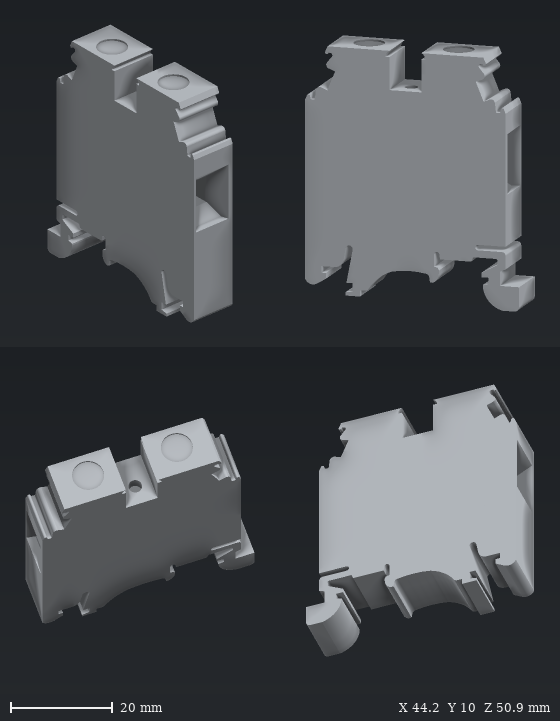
import cadquery as cq
import math


thickness = 10.0
height = 50.85
housing_width = 41.45
foot_reach = 2.8
half_width = housing_width / 2
foot_tip = -half_width - foot_reach

shoulder_z = 39.8
lip_z = 49.6
slot_floor_z = 42.9
flex_slot_top = 12.95
flex_slot_bottom = 11.85
foot_top = 5.0

quarter_round_share = 1 - math.sqrt(0.5)
foot_radius = 1.0
foot_arc_inset = foot_radius * quarter_round_share
arm_radius = 0.75
arm_arc_inset = arm_radius * quarter_round_share
groove_radius = 0.2
groove_arc_inset = groove_radius * quarter_round_share

groove_floor = 39.9
groove_inner_x = 18.7

slot_half_width = 3.3
slot_notch_half_width = 4.1

screw_diameter = 6.3
screw_depth = 0.4
screw_offset = 9.25
screw_y = 4.55
centre_hole_diameter = 2.7
centre_hole_depth = 2.55
centre_hole_y = 6.15

funnel_depth = 5.05
funnel_flat_depth = 1.8
mouth_bottom, mouth_top = 23.25, 35.5
mouth_front, mouth_back = 0.55, 8.9
throat_bottom, throat_top = 25.3, 31.2
throat_front, throat_back = 1.35, 7.6
chamber_depth = 3.05
chamber_step_y = 2.05
chamber_step_depth = 1.0


def front_sketch():
    """Sketch plane with X right and Z up; a negative extrusion runs toward +Y."""
    return cq.Workplane("XZ")


def make_lower_housing():
    """Housing below the shoulder, with the spring foot and the rail hooks."""
    outline = (
        front_sketch()
        .moveTo(half_width, shoulder_z)
        .lineTo(-half_width, shoulder_z)
        .lineTo(-half_width, flex_slot_top)
        .lineTo(-15.0, flex_slot_top)
        .threePointArc((-14.45, (flex_slot_top + flex_slot_bottom) / 2), (-15.0, flex_slot_bottom))
        .lineTo(-half_width + arm_radius, flex_slot_bottom)
        .threePointArc(
            (-half_width + arm_arc_inset, flex_slot_bottom - arm_arc_inset),
            (-half_width, flex_slot_bottom - arm_radius),
        )
        .lineTo(-half_width, 8.4)
        .lineTo(-19.6, 7.9)
        .lineTo(-19.6, foot_top)
        .lineTo(foot_tip, foot_top)
        .lineTo(foot_tip, foot_radius)
        .threePointArc((foot_tip + foot_arc_inset, foot_arc_inset), (foot_tip + foot_radius, 0))
        .lineTo(-20.15, 0)
        .threePointArc((-17.45, 1.5), (-16.0, 4.6))
        .lineTo(-16.0, 4.95)
        .lineTo(-17.2, 5.2)
        .lineTo(-17.2, 6.45)
        .lineTo(-15.7, 6.45)
        .lineTo(-15.7, 7.35)
        .lineTo(-19.0, 9.15)
        .lineTo(-19.0, 10.0)
        .threePointArc((-18.9, 10.25), (-18.65, 10.35))
        .lineTo(-13.95, 10.35)
        .lineTo(-13.6, 9.45)
        .lineTo(-7.15, 9.45)
        .lineTo(-7.0, 10.35)
        .threePointArc((-6.45, 10.95), (-5.95, 10.35))
        .lineTo(-5.95, 7.9)
        .lineTo(-6.65, 7.75)
        .lineTo(-6.95, 7.2)
        .lineTo(-6.85, 6.2)
        .threePointArc((-6.45, 5.25), (-5.65, 4.65))
        .lineTo(-5.1, 4.7)
        .lineTo(-4.95, 5.6)
        .threePointArc((-4.75, 6.1), (-4.2, 6.35))
        .threePointArc((-0.75, 6.65), (2.7, 6.3))
        .threePointArc((5.55, 4.8), (7.8, 2.25))
        .lineTo(8.25, 2.05)
        .lineTo(9.4, 2.05)
        .lineTo(9.4, 0.75)
        .lineTo(12.4, 0.75)
        .lineTo(12.4, 1.4)
        .lineTo(10.95, 1.7)
        .lineTo(10.95, 3.35)
        .lineTo(12.2, 3.35)
        .lineTo(10.9, 10.25)
        .threePointArc((11.65, 10.95), (12.35, 10.35))
        .lineTo(12.75, 8.1)
        .threePointArc((13.35, 6.85), (14.65, 6.35))
        .lineTo(17.35, 6.35)
        .lineTo(17.35, 5.05)
        .lineTo(16.4, 5.05)
        .lineTo(16.4, 3.85)
        .lineTo(18.4, 2.7)
        .threePointArc((19.8, 2.65), (half_width, 3.55))
        .close()
    )
    return outline.extrude(-thickness)


def make_tower():
    """Right half of the housing above the shoulder, including half of the slot."""
    outline = (
        front_sketch()
        .moveTo(0, shoulder_z)
        .lineTo(0, slot_floor_z)
        .lineTo(slot_half_width, slot_floor_z)
        .lineTo(slot_half_width, lip_z)
        .lineTo(slot_notch_half_width, lip_z)
        .threePointArc((3.85, 50.35), (slot_half_width, height))
        .lineTo(16.1, height)
        .lineTo(16.7, lip_z)
        .lineTo(16.5, 49.25)
        .lineTo(16.1, 49.25)
        .lineTo(15.95, lip_z)
        .lineTo(15.55, lip_z)
        .threePointArc((15.15, 49.25), (15.25, 48.75))
        .lineTo(16.15, 47.65)
        .threePointArc((16.35, 47.05), (15.95, 46.45))
        .lineTo(14.55, 45.85)
        .lineTo(16.15, 41.95)
        .lineTo(17.5, 42.5)
        .threePointArc((18.15, 42.4), (18.5, 41.9))
        .lineTo(groove_inner_x, groove_floor + groove_radius)
        .threePointArc(
            (groove_inner_x + groove_arc_inset, groove_floor + groove_arc_inset),
            (groove_inner_x + groove_radius, groove_floor),
        )
        .lineTo(19.6, groove_floor)
        .lineTo(19.8, 40.8)
        .threePointArc((20.05, 40.9), (20.35, 40.75))
        .lineTo(half_width, shoulder_z)
        .close()
    )
    return outline.extrude(-thickness)


def make_wire_entry():
    """Cutter for the wire entry in the -X side."""
    throat_x = -half_width + funnel_depth
    flat_end_x = -half_width + funnel_flat_depth
    side_profile = (
        front_sketch()
        .moveTo(-half_width, mouth_bottom)
        .lineTo(flat_end_x, mouth_bottom)
        .lineTo(throat_x, throat_bottom)
        .lineTo(throat_x, throat_top)
        .lineTo(-half_width, mouth_top)
        .close()
        .extrude(-thickness)
    )
    plan_profile = (
        cq.Workplane("XY")
        .moveTo(-half_width, mouth_front)
        .lineTo(throat_x, throat_front)
        .lineTo(throat_x, throat_back)
        .lineTo(-half_width, mouth_back)
        .close()
        .extrude(height)
    )
    chamber_plan = (
        cq.Workplane("XY", origin=(throat_x, 0, throat_bottom))
        .moveTo(0, throat_front)
        .lineTo(chamber_depth, throat_front)
        .lineTo(chamber_depth, chamber_step_y)
        .lineTo(chamber_depth + chamber_step_depth, chamber_step_y)
        .lineTo(chamber_depth + chamber_step_depth, throat_back)
        .lineTo(0, throat_back)
        .close()
    )
    chamber = chamber_plan.extrude(throat_top - throat_bottom)
    return side_profile.intersect(plan_profile).union(chamber)


def make_round_cutter(x, y, top_z, diameter, depth):
    """Vertical round cutter that goes down from top_z."""
    return (
        cq.Workplane("XY", origin=(x, y, top_z - depth))
        .circle(diameter / 2)
        .extrude(depth)
    )


tower = make_tower()
result = make_lower_housing().union(tower).union(tower.mirror("YZ"))

wire_entry = make_wire_entry()
result = result.cut(wire_entry).cut(wire_entry.mirror("YZ"))

for screw_x in (-screw_offset, screw_offset):
    result = result.cut(make_round_cutter(screw_x, screw_y, height, screw_diameter, screw_depth))
result = result.cut(
    make_round_cutter(0, centre_hole_y, slot_floor_z, centre_hole_diameter, centre_hole_depth)
)
result = result.clean()